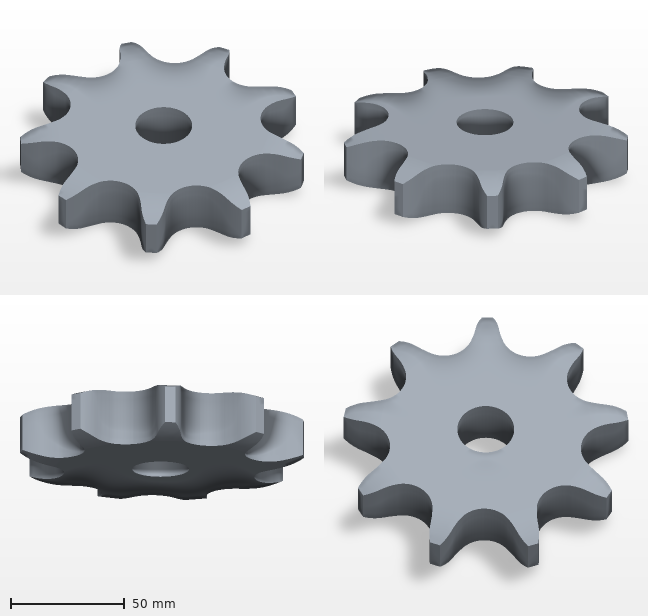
import cadquery as cq
import math

TOOTH_COUNT = 9
PITCH = 38.1
ROLLER_DIAMETER = 25.4
ROLLER_CLEARANCE = 0.04
WIDTH = 24.0
BORE_DIAMETER = 25.0
TIP_DIAMETER = 126.4
CROWN_START_RADIUS = 46.5
CROWN_RADIUS = PITCH
CROWN_OVERHANG = 1.3

STEP_ANGLE = 360 / TOOTH_COUNT
HALF_STEP = math.radians(STEP_ANGLE / 2)
SEAT_HALF_ANGLE = math.radians(55 - 60 / TOOTH_COUNT)
WORKING_ANGLE = math.radians(18 - 56 / TOOTH_COUNT)
TOPPING_ANGLE = math.radians(17 - 64 / TOOTH_COUNT)

TIP_DISTANCE = TIP_DIAMETER / 2
PITCH_RADIUS = PITCH / 2 / math.sin(HALF_STEP)
SEAT_RADIUS = 0.5025 * ROLLER_DIAMETER + ROLLER_CLEARANCE
WORKING_RADIUS = 1.3025 * ROLLER_DIAMETER + ROLLER_CLEARANCE
FLANK_LENGTH = ROLLER_DIAMETER * (1.4 * math.sin(TOPPING_ANGLE) - 0.8 * math.sin(WORKING_ANGLE))
TOPPING_RADIUS = (
    ROLLER_DIAMETER * (0.8 * math.cos(WORKING_ANGLE) + 1.4 * math.cos(TOPPING_ANGLE) - 1.3025)
    - ROLLER_CLEARANCE
)


def polar_offset(origin, distance, slope):
    """Point at a distance from the origin, in a direction measured from +X."""
    return (origin[0] + distance * math.cos(slope), origin[1] + distance * math.sin(slope))


def half_pocket():
    """Right half of the tooth pocket centred on +Y, from its bottom to the tooth tip.

    Returns the bottom point, then the seat, working, flank and topping points.
    Each arc contributes a middle point and an end point, the straight flank only its end.
    """
    down = -math.pi / 2
    roller_centre = (0, PITCH_RADIUS)
    bottom = polar_offset(roller_centre, SEAT_RADIUS, down)
    seat_mid = polar_offset(roller_centre, SEAT_RADIUS, down + SEAT_HALF_ANGLE / 2)
    seat_end = polar_offset(roller_centre, SEAT_RADIUS, down + SEAT_HALF_ANGLE)

    working_centre = polar_offset(seat_end, WORKING_RADIUS, SEAT_HALF_ANGLE - down)
    flank_slope = SEAT_HALF_ANGLE + WORKING_ANGLE
    working_mid = polar_offset(working_centre, WORKING_RADIUS, down + flank_slope - WORKING_ANGLE / 2)
    working_end = polar_offset(working_centre, WORKING_RADIUS, down + flank_slope)

    flank_end = polar_offset(working_end, FLANK_LENGTH, flank_slope)
    topping_centre = polar_offset(flank_end, TOPPING_RADIUS, flank_slope + down)
    tooth_slope = math.pi / 2 - HALF_STEP
    centre_slope = math.atan2(topping_centre[1], topping_centre[0])
    centre_distance = math.hypot(topping_centre[0], topping_centre[1])
    centre_height = centre_distance * math.cos(centre_slope - tooth_slope)
    tip_slope = tooth_slope + math.acos((TIP_DISTANCE - centre_height) / TOPPING_RADIUS)
    flank_normal = flank_slope + math.pi / 2
    topping_mid = polar_offset(topping_centre, TOPPING_RADIUS, (flank_normal + tip_slope) / 2)
    topping_end = polar_offset(topping_centre, TOPPING_RADIUS, tip_slope)
    return bottom, seat_mid, seat_end, working_mid, working_end, flank_end, topping_mid, topping_end


def turned(points, angle):
    """Points rotated about the part axis."""
    cos, sin = math.cos(angle), math.sin(angle)
    return [(x * cos - y * sin, x * sin + y * cos) for x, y in points]


def toothed_blank():
    """Full-width plate with the tooth outline; one tooth points along -Y."""
    right_half = half_pocket()
    left_half = [(-x, y) for x, y in right_half]

    outline = cq.Workplane("XY").workplane(offset=-WIDTH / 2)
    for index in range(TOOTH_COUNT):
        angle = -math.radians(index * STEP_ANGLE)
        bottom, seat_mid, seat_end, work_mid, work_end, flank_end, top_mid, tip = turned(left_half, angle)
        outline = outline.moveTo(*tip) if index == 0 else outline.lineTo(*tip)
        outline = outline.threePointArc(top_mid, flank_end).lineTo(*work_end)
        outline = outline.threePointArc(work_mid, seat_end).threePointArc(seat_mid, bottom)

        bottom, seat_mid, seat_end, work_mid, work_end, flank_end, top_mid, tip = turned(right_half, angle)
        outline = outline.threePointArc(seat_mid, seat_end).threePointArc(work_mid, work_end)
        outline = outline.lineTo(*flank_end).threePointArc(top_mid, tip)
    return outline.close().extrude(WIDTH, clean=False)


def crowned_disc():
    """Disc whose side faces curve towards the middle plane beyond the crown start radius."""
    outer_radius = TIP_DISTANCE + CROWN_OVERHANG
    half_width = WIDTH / 2

    def crown_height(radius):
        rise = math.sqrt(CROWN_RADIUS**2 - (radius - CROWN_START_RADIUS) ** 2)
        return half_width - CROWN_RADIUS + rise

    mid_radius = (CROWN_START_RADIUS + outer_radius) / 2
    mid_height = crown_height(mid_radius)
    rim_height = crown_height(outer_radius)
    return (
        cq.Workplane("XZ")
        .moveTo(0, -half_width)
        .lineTo(CROWN_START_RADIUS, -half_width)
        .threePointArc((mid_radius, -mid_height), (outer_radius, -rim_height))
        .lineTo(outer_radius, rim_height)
        .threePointArc((mid_radius, mid_height), (CROWN_START_RADIUS, half_width))
        .lineTo(0, half_width)
        .close()
        .revolve(360, (0, 0, 0), (0, 1, 0))
    )


bore = cq.Workplane("XY").workplane(offset=-WIDTH / 2).circle(BORE_DIAMETER / 2).extrude(WIDTH)

result = toothed_blank().intersect(crowned_disc(), clean=False).cut(bore, clean=False)